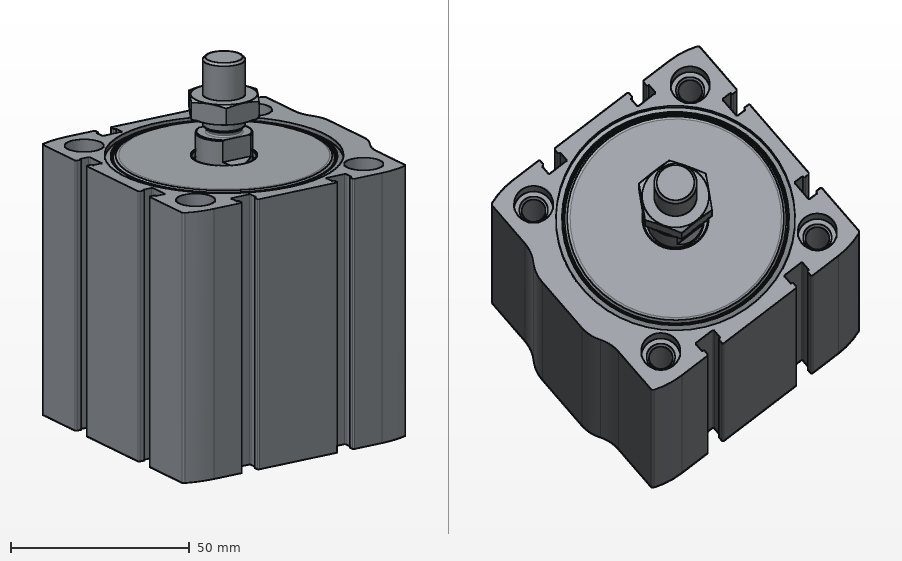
import cadquery as cq
import math

width = 75.0
half_width = width / 2
height = 80.0
hump_rise = 3.5
hump_half_top = 8.8
hump_run = 12.0
side_arc_radius = 25.0
corner_fillet = 0.8

bolt_offset = 28.25
counterbore_diameter = 11.0
counterbore_depth = 4.6
thread_diameter = 8.0
bolt_hole_diameter = 6.65

slot_offset = 16.0
slot_depth = 5.0
slot_width = 6.5
mouth_width = 5.2
lip_thickness = 2.0
lip_fillet = 0.4
slot_floor_fillet = 0.3

bore_radius = 67.0 / 2
ring_outer_radius = 31.85
ring_inner_radius = 63.0 / 2
ring_sink = 0.4
cover_edge_radius = 31.05
cover_shoulder_radius = 30.35
cover_face_radius = 29.6
shoulder_slope = math.radians(15)
edge_slope = math.radians(45)
ring_slope = math.radians(30)

rod_diameter = 16.0
rod_mouth_diameter = 18.7
rod_recess_diameter = 18.1
rod_recess_depth = 2.0
rod_insertion = 20.0
rod_bottom_z = height - rod_insertion
rod_shoulder_height = 7.0
rod_shoulder_z = height + rod_shoulder_height
rod_shoulder_chamfer = 0.3
flats_across = 13.0
flat_bottom_height = 0.55
flat_bottom_z = height + flat_bottom_height
neck_diameter = 9.8
neck_length = 1.35
thread_start_z = rod_shoulder_z + neck_length
rod_top_z = 109.0
stud_diameter = 12.0
stud_core_diameter = 10.65
stud_start_chamfer = (stud_diameter - stud_core_diameter) / 2
stud_end_chamfer = 0.75
neck_fillet = (stud_core_diameter - neck_diameter) / 2

nut_across_flats = 19.0
nut_thickness = 6.0
nut_standoff = 12.0
nut_bottom_z = height + nut_standoff
nut_face_diameter = 18.7
nut_chamfer_slope = math.radians(20)


def turned(outline):
    """Solid of revolution about Z from (radius, z) points."""
    return cq.Workplane("XZ").polyline(outline).close().revolve(360, (0, 0), (0, 1))


def housing_block():
    """Square profile with bowed corners on the sides and a hump on the +Y face."""
    bow_center = half_width - side_arc_radius

    def bow_x(y):
        return bow_center + math.sqrt(side_arc_radius**2 - (y - bolt_offset) ** 2)

    corner_x = bow_x(half_width)
    bow_mid_y = (bolt_offset + half_width) / 2
    bow_mid_x = bow_x(bow_mid_y)
    hump_top_y = half_width + hump_rise
    hump_foot_x = hump_half_top + hump_run
    hump_mid = (hump_half_top + hump_run / 2, half_width + hump_rise / 2)

    profile = (
        cq.Workplane("XY")
        .moveTo(-corner_x, -half_width)
        .lineTo(corner_x, -half_width)
        .threePointArc((bow_mid_x, -bow_mid_y), (half_width, -bolt_offset))
        .lineTo(half_width, bolt_offset)
        .threePointArc((bow_mid_x, bow_mid_y), (corner_x, half_width))
        .lineTo(hump_foot_x, half_width)
        .tangentArcPoint(hump_mid, relative=False)
        .tangentArcPoint((hump_half_top, hump_top_y), relative=False)
        .lineTo(-hump_half_top, hump_top_y)
        .tangentArcPoint((-hump_mid[0], hump_mid[1]), relative=False)
        .tangentArcPoint((-hump_foot_x, half_width), relative=False)
        .lineTo(-corner_x, half_width)
        .threePointArc((-bow_mid_x, bow_mid_y), (-half_width, bolt_offset))
        .lineTo(-half_width, -bolt_offset)
        .threePointArc((-bow_mid_x, -bow_mid_y), (-corner_x, -half_width))
        .close()
    )
    block = profile.extrude(height)
    for side_x in (-corner_x, corner_x):
        for side_y in (-half_width, half_width):
            corner = cq.selectors.NearestToPointSelector((side_x, side_y, height / 2))
            block = block.edges("|Z").edges(corner).fillet(corner_fillet)
    return block


def sensor_slot():
    """T-slot cutter opening through the -Y face, centred on x = 0."""
    mouth = mouth_width / 2
    inner = slot_width / 2
    lip_y = -half_width + lip_thickness
    floor_y = -half_width + slot_depth
    arc_inset = lip_fillet * (1 - math.sqrt(0.5))
    face_y = -half_width

    slot = (
        cq.Workplane("XY")
        .moveTo(mouth + lip_fillet, face_y)
        .threePointArc((mouth + arc_inset, face_y + arc_inset), (mouth, face_y + lip_fillet))
        .lineTo(mouth, lip_y - lip_fillet)
        .threePointArc((mouth + arc_inset, lip_y - arc_inset), (mouth + lip_fillet, lip_y))
        .lineTo(inner, lip_y)
        .lineTo(inner, floor_y)
        .lineTo(-inner, floor_y)
        .lineTo(-inner, lip_y)
        .lineTo(-mouth - lip_fillet, lip_y)
        .threePointArc((-mouth - arc_inset, lip_y - arc_inset), (-mouth, lip_y - lip_fillet))
        .lineTo(-mouth, face_y + lip_fillet)
        .threePointArc((-mouth - arc_inset, face_y + arc_inset), (-mouth - lip_fillet, face_y))
        .close()
        .extrude(height)
    )
    return slot.faces(">Y").edges("|Z").fillet(slot_floor_fillet)


def bolt_hole():
    """Through hole with a counterbore and a chamfered thread mouth."""
    seat_z = height - counterbore_depth
    hole_radius = bolt_hole_diameter / 2
    thread_radius = thread_diameter / 2
    head_radius = counterbore_diameter / 2
    outline = [
        (0, 0),
        (hole_radius, 0),
        (hole_radius, seat_z - (thread_radius - hole_radius)),
        (thread_radius, seat_z),
        (head_radius, seat_z),
        (head_radius, height),
        (0, height),
    ]
    return turned(outline)


def cover_relief():
    """Cutter around the end cover: sloped rim, narrow gap, ring and outer groove."""
    shoulder_z = height - (cover_shoulder_radius - cover_face_radius) * math.tan(shoulder_slope)
    edge_z = shoulder_z - (cover_edge_radius - cover_shoulder_radius) * math.tan(edge_slope)
    ring_z = height - ring_sink
    groove_z = ring_z - (bore_radius - ring_outer_radius) * math.tan(ring_slope)
    outline = [
        (cover_face_radius, height),
        (cover_shoulder_radius, shoulder_z),
        (cover_edge_radius, edge_z),
        (ring_inner_radius, edge_z),
        (ring_inner_radius, ring_z),
        (ring_outer_radius, ring_z),
        (bore_radius, groove_z),
        (bore_radius, height),
    ]
    return turned(outline)


def rod_socket():
    """Blind hole that the rod sits in, with a chamfered recess around it in the cover face."""
    rod_radius = rod_diameter / 2
    mouth_radius = rod_mouth_diameter / 2
    recess_radius = rod_recess_diameter / 2
    recess_z = height - rod_recess_depth
    outline = [
        (0, rod_bottom_z),
        (rod_radius, rod_bottom_z),
        (rod_radius, recess_z),
        (recess_radius, recess_z),
        (recess_radius, height - (mouth_radius - recess_radius)),
        (mouth_radius, height),
        (0, height),
    ]
    return turned(outline)


def make_housing():
    body = housing_block()
    for side_angle in (-90, 0, 90):
        for offset in (-slot_offset, slot_offset):
            slot = sensor_slot().translate((offset, 0, 0))
            body = body.cut(slot.rotate((0, 0, 0), (0, 0, 1), side_angle))
    for x in (-bolt_offset, bolt_offset):
        for y in (-bolt_offset, bolt_offset):
            body = body.cut(bolt_hole().translate((x, y, 0)))
    return body.cut(cover_relief()).cut(rod_socket())


def make_rod():
    """Turned rod with a necked stud end and two wrench flats."""
    rod_radius = rod_diameter / 2
    neck_radius = neck_diameter / 2
    stud_radius = stud_diameter / 2
    core_radius = stud_core_diameter / 2
    fillet_sag = neck_fillet * (1 - math.sqrt(0.5))
    fillet_mid_radius = neck_radius + fillet_sag
    rod = (
        cq.Workplane("XZ")
        .moveTo(0, rod_bottom_z)
        .lineTo(rod_radius, rod_bottom_z)
        .lineTo(rod_radius, rod_shoulder_z - rod_shoulder_chamfer)
        .lineTo(rod_radius - rod_shoulder_chamfer, rod_shoulder_z)
        .lineTo(core_radius, rod_shoulder_z)
        .threePointArc(
            (fillet_mid_radius, rod_shoulder_z + fillet_sag),
            (neck_radius, rod_shoulder_z + neck_fillet),
        )
        .lineTo(neck_radius, thread_start_z - neck_fillet)
        .threePointArc(
            (fillet_mid_radius, thread_start_z - fillet_sag),
            (core_radius, thread_start_z),
        )
        .lineTo(stud_radius, thread_start_z + stud_start_chamfer)
        .lineTo(stud_radius, rod_top_z - stud_end_chamfer)
        .lineTo(stud_radius - stud_end_chamfer, rod_top_z)
        .lineTo(0, rod_top_z)
        .close()
        .revolve(360, (0, 0), (0, 1))
    )

    flat_x = flats_across / 2
    run_out = rod_diameter / 2 - flat_x
    for side in (-1, 1):
        flat_profile = [
            (side * flat_x, flat_bottom_z),
            (side * (flat_x + run_out), flat_bottom_z - run_out),
            (side * (flat_x + run_out), rod_shoulder_z),
            (side * flat_x, rod_shoulder_z),
        ]
        flat_cutter = cq.Workplane("XZ").polyline(flat_profile).close().extrude(rod_diameter / 2, both=True)
        rod = rod.cut(flat_cutter)
    return rod


def make_nut():
    """Hexagon nut, corners up and down in Y, chamfered on both faces."""
    corner_diameter = nut_across_flats / math.cos(math.pi / 6)
    corner_radius = corner_diameter / 2
    face_radius = nut_face_diameter / 2
    drop = (corner_radius - face_radius) * math.tan(nut_chamfer_slope)
    hexagon = (
        cq.Workplane("XY")
        .polygon(6, corner_diameter)
        .extrude(nut_thickness)
        .rotate((0, 0, 0), (0, 0, 1), 30)
    )
    envelope_outline = [
        (0, 0),
        (face_radius, 0),
        (corner_radius, drop),
        (corner_radius, nut_thickness - drop),
        (face_radius, nut_thickness),
        (0, nut_thickness),
    ]
    envelope = turned(envelope_outline)
    bore = cq.Workplane("XY").circle(stud_diameter / 2).extrude(nut_thickness)
    return hexagon.intersect(envelope).cut(bore).translate((0, 0, nut_bottom_z))


housing = make_housing()
rod = make_rod()
nut = make_nut()

result = cq.Compound.makeCompound([housing.val(), rod.val(), nut.val()])